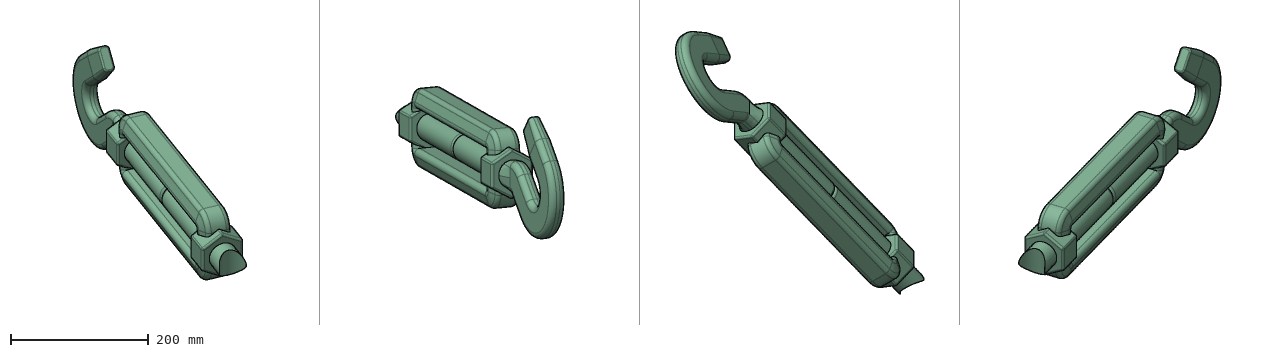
import cadquery as cq
import math


bar_width = 47.5
bar_thickness = 23.5
bar_round = 9.0
bowl_radius = 47.5
neck_inner_radius = 0.5
hook_angle = 41.5
free_leg_length = 40.0
tip_length = 44.0
tip_width = 38.0
tip_thickness = 17.5
tip_corner_round = 6.0
tip_end_round = 3.0

rod_radius = 21.5
rod_end_round = 4.5

body_start = 101.5
body_length = 351.0
hex_length = 42.5
hex_across_flats = 65.0
hex_round = 3.5
arm_inside = 30.0
arm_outside = 59.0
arm_top_half_width = 17.5
arm_draft = 20.0
arm_round = 8.0
arm_bend_angle = 82.0
arm_root_length = 13.0

overall_length = 561.0
saddle_radius = 22.0

body_end = body_start + body_length
body_middle = body_start + body_length / 2
arm_start = body_start + hex_length
arm_end = body_end - hex_length
arm_height = arm_outside - arm_inside
half_bar = bar_width / 2

points_x = overall_length - (bowl_radius + half_bar)
saddle_center_x = points_x + math.sqrt(saddle_radius**2 - rod_radius**2)

slope = math.radians(hook_angle)
leg_direction = cq.Vector(math.cos(slope), 0, math.sin(slope))
leg_normal = cq.Vector(-math.sin(slope), 0, math.cos(slope))

neck_radius = half_bar + neck_inner_radius
bend_center_x = (bowl_radius + neck_radius * (1 - math.cos(slope))) / math.sin(slope)
bend_center = cq.Vector(bend_center_x, 0, -neck_radius)


def rounded_rectangle(thickness, width, corner_round):
    return cq.Sketch().rect(thickness, width).vertices().fillet(corner_round)


def section_plane(origin, direction):
    """Plane across the hook: local x is +Y, local y points left of the direction."""
    return cq.Plane(origin=origin, xDir=(0, 1, 0), normal=direction)


bar_section = rounded_rectangle(bar_thickness, bar_width, bar_round)


def straight_bar(origin, direction, length):
    return cq.Workplane(section_plane(origin, direction)).placeSketch(bar_section).extrude(length)


def bent_bar(origin, direction, angle, center_offset):
    """Bar turned about a Y axis; a positive offset puts the centre on the left."""
    turn = -math.copysign(1, center_offset)
    section = cq.Workplane(section_plane(origin, direction)).placeSketch(bar_section)
    return section.revolve(angle, (0, center_offset), (turn, center_offset))


def make_tip(origin):
    tip_section = rounded_rectangle(tip_thickness, tip_width, tip_corner_round)
    at_tip = tip_section.moved(cq.Location(cq.Vector(0, 0, tip_length)))
    tip = cq.Workplane(section_plane(origin, leg_direction)).placeSketch(bar_section, at_tip).loft()
    end_face = cq.selectors.DirectionMinMaxSelector(leg_direction)
    return tip.faces(end_face).edges().fillet(tip_end_round)


def make_hook():
    free_leg_start = leg_normal * bowl_radius
    free_leg_end = free_leg_start + leg_direction * free_leg_length
    lower_leg_start = leg_normal * -bowl_radius
    lower_leg_end = bend_center + leg_normal * neck_radius
    lower_leg_length = (lower_leg_end - lower_leg_start).Length
    neck_start = cq.Vector(bend_center_x, 0, 0)

    rod_section = cq.Sketch().circle(rod_radius)
    at_rod = rod_section.moved(cq.Location(cq.Vector(0, 0, body_start - bend_center_x)))
    neck = cq.Workplane(section_plane(neck_start, (1, 0, 0))).placeSketch(bar_section, at_rod).loft()

    hook = straight_bar(free_leg_start, leg_direction, free_leg_length)
    hook = hook.union(make_tip(free_leg_end))
    hook = hook.union(bent_bar(free_leg_start, leg_direction * -1, 180, bowl_radius))
    hook = hook.union(straight_bar(lower_leg_start, leg_direction, lower_leg_length))
    hook = hook.union(bent_bar(lower_leg_end, leg_direction, hook_angle, -neck_radius))
    return hook.union(neck)


def make_rods():
    """Two rods meeting end to end at the middle of the body, with rounded ends."""
    left = cq.Workplane("YZ", origin=(body_start, 0, 0)).circle(rod_radius)
    left = left.extrude(body_middle - body_start).faces(">X").edges().fillet(rod_end_round)

    right_length = saddle_center_x - body_middle
    right = cq.Workplane("YZ", origin=(body_middle, 0, 0)).circle(rod_radius)
    right = right.extrude(right_length).faces("<X").edges().fillet(rod_end_round)
    saddle = cq.Workplane("XY").center(saddle_center_x, 0).circle(saddle_radius)
    right = right.cut(saddle.extrude(rod_radius * 2, both=True))
    return left.union(right)


def make_hexagon(start):
    across_corners = hex_across_flats / math.cos(math.pi / 6)
    hexagon = cq.Workplane("YZ", origin=(start, 0, 0)).transformed(rotate=(0, 0, 90))
    return hexagon.polygon(6, across_corners).extrude(hex_length).edges().fillet(hex_round)


def make_arm():
    """Upper arm: a straight run whose ends turn down into the hexagons."""
    bottom_half_width = arm_top_half_width + arm_height * math.tan(math.radians(arm_draft))
    section = (
        cq.Sketch()
        .polygon([
            (-bottom_half_width, 0),
            (bottom_half_width, 0),
            (arm_top_half_width, arm_height),
            (-arm_top_half_width, arm_height),
            (-bottom_half_width, 0),
        ])
        .vertices()
        .fillet(arm_round)
    )
    arm = cq.Workplane("YZ", origin=(arm_start, 0, arm_inside)).placeSketch(section)
    arm = arm.extrude(arm_end - arm_start)
    bend_angle = math.radians(arm_bend_angle)
    for end_x, outward in ((arm_start, -1), (arm_end, 1)):
        bend = cq.Workplane("YZ", origin=(end_x, 0, arm_inside)).placeSketch(section)
        bend = bend.revolve(arm_bend_angle, (0, 0), (outward, 0))
        root_direction = (outward * math.cos(bend_angle), 0, -math.sin(bend_angle))
        root_plane = cq.Plane((end_x, 0, arm_inside), xDir=(0, outward, 0), normal=root_direction)
        root = cq.Workplane(root_plane).placeSketch(section).extrude(arm_root_length)
        arm = arm.union(bend).union(root)
    return arm


upper_arm = make_arm()
lower_arm = upper_arm.mirror("XY")

result = make_rods().union(make_hook())
for hexagon_start in (body_start, arm_end):
    result = result.union(make_hexagon(hexagon_start))
result = result.union(upper_arm).union(lower_arm)